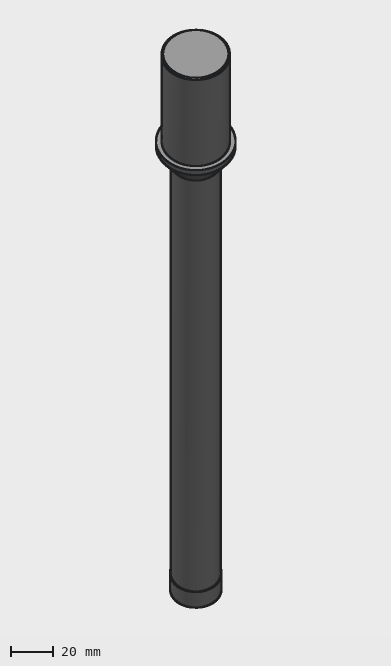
import cadquery as cq

total_length = 371.7

head_diameter = 32.0
head_length = 60.0
head_chamfer = 0.7
collar_diameter = 37.0
collar_thickness = 3.5
taper_length = 11.0

shaft_diameter = 23.5
tip_diameter = 24.0
tip_point_height = 4.5
tip_band_length = 10.8

tip_top = tip_point_height + tip_band_length
collar_top = total_length - head_length
collar_bottom = collar_top - collar_thickness
taper_bottom = collar_bottom - taper_length


def make_holder():
    """Revolved shaft that widens through a taper and collar into a chamfered head."""
    head_radius = head_diameter / 2
    collar_radius = collar_diameter / 2
    shaft_radius = shaft_diameter / 2
    profile = [
        (0, tip_top),
        (shaft_radius, tip_top),
        (shaft_radius, taper_bottom),
        (collar_radius, collar_bottom),
        (collar_radius, collar_top),
        (head_radius, collar_top),
        (head_radius, total_length - head_chamfer),
        (head_radius - head_chamfer, total_length),
        (0, total_length),
    ]
    return cq.Workplane("XZ").polyline(profile).close().revolve(360, (0, 0), (0, 1))


def make_tip():
    """Short cylindrical band with a shallow conical point, seated on the shaft end."""
    tip_radius = tip_diameter / 2
    profile = [
        (0, 0),
        (tip_radius, tip_point_height),
        (tip_radius, tip_top),
        (0, tip_top),
    ]
    return cq.Workplane("XZ").polyline(profile).close().revolve(360, (0, 0), (0, 1))


holder = make_holder()
tip = make_tip()

result = cq.Compound.makeCompound([holder.val(), tip.val()])